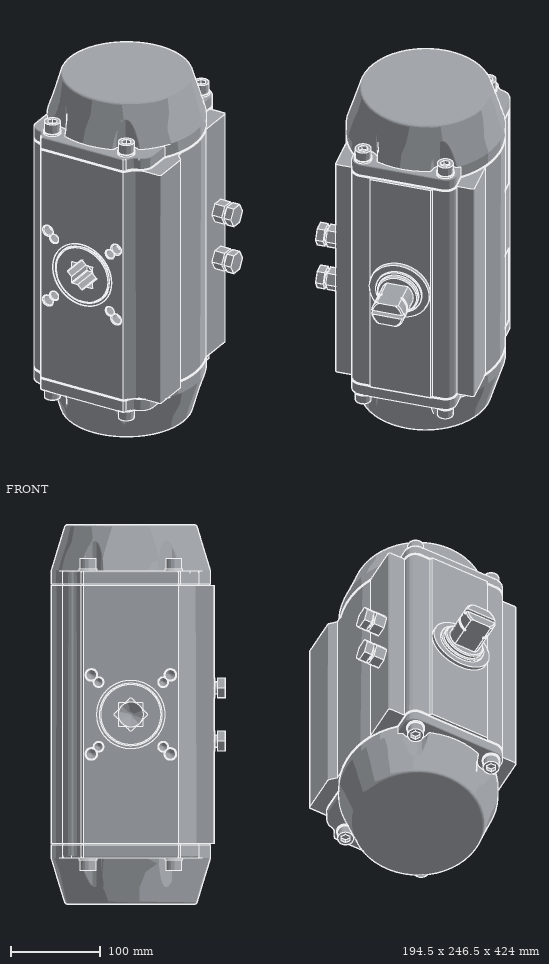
import cadquery as cq
import math

total_length = 424.0
body_length = 288.5
bore_wall_radius = 89.0
shaft_end_y = 148.0
bottom_y = -98.5
block_top_y = 94.5

bolt_x = 48.0
bolt_y = 82.3
washer_diameter = 20.0
washer_thickness = 2.0
head_diameter = 18.0
head_height = 12.0
socket_across_corners = 11.5
socket_depth = 5.0

block_corner_radius = 13.0
upper_half_width = bolt_x + block_corner_radius
lower_half_width = 76.5
lower_corner_radius = 17.5
lower_corner_centre_x = lower_half_width - lower_corner_radius
lower_corner_centre_y = -70.0
foot_half_width = 53.0
foot_chamfer = 2.5
scallop_start_x = 66.0
scallop_radius = 12.5

gasket_thickness = 1.3
gasket_setback = 1.0
flange_thickness = 15.0
flange_rounding = 2.0
cone_top_radius = 73.5
crown_rounding = 4.0
bolt_pocket_radius = 16.0
bolt_pocket_rounding = 2.0

wing_half_width = 81.0
wing_top_y = 81.0
wing_rounding = 2.5
rail_inner_x = 85.5
rail_outer_x = 93.3
rail_shoulder_y = -32.0
rail_bottom_y = -84.0
rail_rounding = 1.5
rail_cove_start_x = 75.5

strip_half_width = 36.5
strip_height = 2.5
strip_slope = 1.3

label_top_y = -48.5
label_bottom_y = -69.5
label_depth = 1.0
pad_top_y = -51.7
pad_half_length = 45.0

shaft_diameter = 37.5
shaft_across_flats = 28.0
shaft_chamfer = 1.5
shaft_groove_y = 130.0
shaft_groove_width = 1.5
shaft_groove_depth = 1.0
slot_width = 5.0
slot_depth = 5.0
disc_diameter = 70.0
disc_top_y = 101.8
ring_diameter = 53.5
ring_top_y = 104.5
collar_diameter = 47.5
collar_top_y = 109.0
collar_chamfer = 1.3

spigot_step_diameter = 76.5
spigot_step_depth = 1.0
spigot_diameter = 70.0
spigot_inner_diameter = 67.0
spigot_groove_depth = 3.5
star_across_flats = 27.0
star_tip_diameter = 37.5
star_depth = 34.0
star_drill_diameter = 28.0
large_hole_offset = 44.0
large_hole_diameter = 12.0
large_countersink_diameter = 14.0
small_hole_offset = 36.0
small_hole_diameter = 10.0
small_countersink_diameter = 12.0
mounting_hole_depth = 12.7
drill_half_angle = math.radians(59)

fitting_y = 62.8
fitting_z = 29.5
hex_across_flats = 22.5
nut_end_x = 93.5
neck_diameter = 14.0
head_start_x = 96.5
head_end_x = 105.5

half_body = body_length / 2
foot_edge_x = foot_half_width + foot_chamfer
foot_edge_y = bottom_y + foot_chamfer
cap_base_z = half_body + gasket_thickness
flange_top_z = cap_base_z + flange_thickness


def block_profile():
    """Plate outline with rounded upper corners and scalloped lower corners."""
    diagonal = math.cos(math.radians(45))
    inset = block_corner_radius * diagonal
    lower_inset = lower_corner_radius * diagonal
    scallop_start_y = lower_corner_centre_y - math.sqrt(
        lower_corner_radius**2 - (scallop_start_x - lower_corner_centre_x) ** 2
    )
    chord_x = scallop_start_x - foot_edge_x
    chord_y = scallop_start_y - foot_edge_y
    chord = math.hypot(chord_x, chord_y)
    bulge = scallop_radius - math.sqrt(scallop_radius**2 - (chord / 2) ** 2)
    scallop_mid_x = (scallop_start_x + foot_edge_x) / 2 - bulge * chord_y / chord
    scallop_mid_y = (scallop_start_y + foot_edge_y) / 2 + bulge * chord_x / chord
    upper_corner_y = block_top_y - block_corner_radius
    right_half = (
        cq.Workplane("XY")
        .moveTo(0, block_top_y)
        .lineTo(bolt_x, block_top_y)
        .threePointArc((bolt_x + inset, upper_corner_y + inset), (upper_half_width, upper_corner_y))
        .lineTo(upper_half_width, 0)
        .lineTo(lower_half_width, 0)
        .lineTo(lower_half_width, lower_corner_centre_y)
        .threePointArc(
            (lower_corner_centre_x + lower_inset, lower_corner_centre_y - lower_inset),
            (scallop_start_x, scallop_start_y),
        )
        .threePointArc((scallop_mid_x, scallop_mid_y), (foot_edge_x, foot_edge_y))
        .lineTo(foot_half_width, bottom_y)
        .lineTo(0, bottom_y)
    )
    return right_half.mirrorY()


def y_cylinder(diameter, start_y, end_y):
    """Cylinder on the shaft axis between two Y levels."""
    disc = cq.Workplane("XZ", origin=(0, start_y, 0)).circle(diameter / 2)
    return disc.extrude(start_y - end_y)


def box_between(low, high):
    """Axis-aligned box between two opposite corners."""
    size = [b - a for a, b in zip(low, high)]
    return cq.Workplane("XY").box(*size, centered=False).translate(low)


def make_wings():
    wings = box_between(
        (-wing_half_width, 0, -half_body), (wing_half_width, wing_top_y, half_body)
    )
    return wings.edges("|Z and >Y").fillet(wing_rounding)


def make_rail():
    """Lower rail on the +X side, ending in a cove that leaves the rail floor tangentially."""
    shoulder = rail_outer_x - rail_inner_x
    return (
        cq.Workplane("XY", origin=(0, 0, -half_body))
        .moveTo(0, 0)
        .lineTo(rail_inner_x, 0)
        .lineTo(rail_inner_x, rail_shoulder_y)
        .lineTo(rail_outer_x, rail_shoulder_y - shoulder)
        .lineTo(rail_outer_x, rail_bottom_y)
        .lineTo(rail_cove_start_x, rail_bottom_y)
        .tangentArcPoint((foot_edge_x, foot_edge_y), relative=False)
        .lineTo(0, foot_edge_y)
        .close()
        .extrude(body_length)
        .edges("|Z and >X")
        .fillet(rail_rounding)
    )


def make_strip():
    top_half_width = strip_half_width - strip_slope
    top_y = block_top_y + strip_height
    return (
        cq.Workplane("XY", origin=(0, 0, -half_body))
        .polyline(
            [
                (-strip_half_width, 0),
                (-strip_half_width, block_top_y),
                (-top_half_width, top_y),
                (top_half_width, top_y),
                (strip_half_width, block_top_y),
                (strip_half_width, 0),
            ]
        )
        .close()
        .extrude(body_length)
    )


def make_label_recess():
    """Shallow full-length recess that leaves a plain pad at mid length."""
    recess_x = -lower_half_width + label_depth
    recess = box_between(
        (-bore_wall_radius, label_bottom_y, -half_body), (recess_x, label_top_y, half_body)
    )
    pad = box_between(
        (-bore_wall_radius, label_bottom_y, -pad_half_length),
        (recess_x, pad_top_y, pad_half_length),
    )
    return recess.cut(pad)


def make_body():
    tube = cq.Workplane("XY").circle(bore_wall_radius).extrude(half_body, both=True)
    block = block_profile().extrude(half_body, both=True)
    body = tube.union(block).union(make_wings()).union(make_rail()).union(make_strip())
    return body.cut(make_label_recess())


def make_gasket():
    """Gasket between body and upper cap, set slightly back from their outer faces."""
    ring = cq.Workplane("XY").circle(bore_wall_radius - gasket_setback).extrude(gasket_thickness)
    plate = block_profile().offset2D(-gasket_setback).extrude(gasket_thickness)
    return ring.union(plate).translate((0, 0, half_body))


def make_bolt(x, y):
    washer = cq.Workplane("XY", origin=(x, y, flange_top_z)).circle(washer_diameter / 2)
    head = washer.extrude(washer_thickness).faces(">Z").workplane()
    bolt = head.circle(head_diameter / 2).extrude(head_height)
    socket = bolt.faces(">Z").workplane().polygon(6, socket_across_corners)
    return socket.cutBlind(-socket_depth)


def make_cap():
    """Upper end cap: bolted flange and tapered dome with a pocket above each bolt."""
    flange = block_profile().extrude(flange_thickness).faces(">Z").edges().fillet(flange_rounding)
    flange = flange.translate((0, 0, cap_base_z))
    dome = (
        cq.Workplane("XZ")
        .polyline(
            [
                (0, cap_base_z),
                (bore_wall_radius, cap_base_z),
                (bore_wall_radius, flange_top_z),
                (cone_top_radius, total_length / 2),
                (0, total_length / 2),
            ]
        )
        .close()
        .revolve(360, (0, 0, 0), (0, 1, 0))
        .faces(">Z")
        .edges()
        .fillet(crown_rounding)
    )
    bolt_places = [(sx * bolt_x, sy * bolt_y) for sx in (-1, 1) for sy in (-1, 1)]
    pockets = (
        cq.Workplane("XY", origin=(0, 0, flange_top_z))
        .pushPoints(bolt_places)
        .circle(bolt_pocket_radius)
        .extrude(total_length / 2)
    )
    dome = dome.cut(pockets).edges("%BSPLINE").fillet(bolt_pocket_rounding)
    cap = flange.cut(pockets).union(dome)
    for x, y in bolt_places:
        cap = cap.union(make_bolt(x, y))
    return cap


def make_shaft():
    shaft = y_cylinder(shaft_diameter, 0, shaft_end_y).faces(">Y").chamfer(shaft_chamfer)
    groove_end_y = shaft_groove_y + shaft_groove_width
    groove_floor = shaft_diameter - 2 * shaft_groove_depth
    groove = y_cylinder(shaft_diameter, shaft_groove_y, groove_end_y).cut(
        y_cylinder(groove_floor, shaft_groove_y, groove_end_y)
    )
    flats = box_between(
        (-shaft_diameter, 0, -shaft_across_flats / 2),
        (shaft_diameter, shaft_end_y, shaft_across_flats / 2),
    )
    slot_floor_y = shaft_end_y - slot_depth
    slot = box_between(
        (-shaft_diameter, slot_floor_y, -slot_width / 2),
        (shaft_diameter, shaft_end_y, slot_width / 2),
    ).edges("|X and <Y").fillet(slot_width / 4)
    shaft = shaft.cut(groove).intersect(flats).cut(slot)
    collar = y_cylinder(collar_diameter, 0, collar_top_y).faces(">Y").chamfer(collar_chamfer)
    ring = y_cylinder(ring_diameter, 0, ring_top_y)
    disc = y_cylinder(disc_diameter, 0, disc_top_y)
    return shaft.union(collar).union(ring).union(disc)


def revolved_cut(profile):
    """Turn a (radius, depth) profile into a cut that enters the -Y face at the origin."""
    turned = cq.Workplane("XY").polyline(profile).close().revolve(360, (0, 0, 0), (0, 1, 0))
    return turned.translate((0, bottom_y, 0))


def drilled_hole(diameter, depth):
    """Blind hole with a drill-point floor."""
    radius = diameter / 2
    tip_depth = depth + radius / math.tan(drill_half_angle)
    return revolved_cut([(0, 0), (radius, 0), (radius, depth), (0, tip_depth)])


def countersink(diameter):
    """90 degree conical mouth for a hole."""
    return revolved_cut([(0, 0), (diameter / 2, 0), (0, diameter / 2)])


def make_star_socket():
    """Eight-pointed socket from two crossed squares with blunted tips and a drilled floor."""
    plane = cq.Workplane("XZ", origin=(0, bottom_y, 0))
    square = plane.rect(star_across_flats, star_across_flats).extrude(-star_depth)
    turned = square.rotate((0, 0, 0), (0, 1, 0), 45)
    tips = plane.circle(star_tip_diameter / 2).extrude(-star_depth)
    drill = drilled_hole(star_drill_diameter, star_depth)
    return square.union(turned).intersect(tips).union(drill)


def make_spigot_groove():
    """Ring groove with a shallow step around its outer edge."""
    inner_radius = spigot_inner_diameter / 2
    outer_radius = spigot_diameter / 2
    rim_radius = spigot_step_diameter / 2
    return revolved_cut(
        [
            (inner_radius, 0),
            (rim_radius, 0),
            (rim_radius, spigot_step_depth),
            (outer_radius, spigot_step_depth),
            (outer_radius, spigot_groove_depth),
            (inner_radius, spigot_groove_depth),
        ]
    )


def make_mounting_cuts():
    cuts = make_star_socket().union(make_spigot_groove())
    hole_sets = [
        (large_hole_offset, large_hole_diameter, large_countersink_diameter),
        (small_hole_offset, small_hole_diameter, small_countersink_diameter),
    ]
    for offset, diameter, mouth_diameter in hole_sets:
        hole = drilled_hole(diameter, mounting_hole_depth).union(countersink(mouth_diameter))
        for sx in (-1, 1):
            for sz in (-1, 1):
                cuts = cuts.union(hole.translate((sx * offset, 0, sz * offset)))
    return cuts


def make_fitting(z):
    """Hexagon nut, neck and hexagon head along +X, with corners pointing to +Y and -Y."""
    across_corners = hex_across_flats / math.cos(math.radians(30))

    def hexagon(start_x, end_x):
        plane = cq.Workplane("YZ", origin=(start_x, fitting_y, z))
        return plane.polygon(6, across_corners).extrude(end_x - start_x)

    neck = cq.Workplane("YZ", origin=(nut_end_x, fitting_y, z)).circle(neck_diameter / 2)
    neck = neck.extrude(head_start_x - nut_end_x)
    return hexagon(wing_half_width, nut_end_x).union(neck).union(hexagon(head_start_x, head_end_x))


upper_cap = make_cap().union(make_gasket())
result = make_body().union(upper_cap).union(upper_cap.mirror("XY")).union(make_shaft())
for fitting_side in (-1, 1):
    result = result.union(make_fitting(fitting_side * fitting_z))
result = result.cut(make_mounting_cuts())